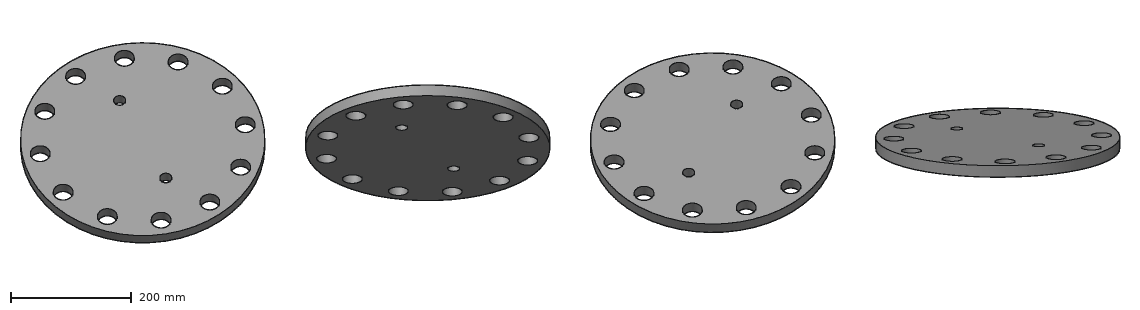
import cadquery as cq

flange_diameter = 405.0
thickness = 20.0

bolt_count = 12
bolt_circle_diameter = 345.0
bolt_hole_diameter = 33.0
bolt_pitch_angle = 360.0 / bolt_count

inner_hole_spacing = 180.0
inner_hole_diameter = 20.0


def make_plate():
    return cq.Workplane("XY").circle(flange_diameter / 2).extrude(thickness)


def cut_bolt_holes(plate):
    return (
        plate.faces(">Z")
        .workplane(origin=(0, 0, thickness))
        .polarArray(bolt_circle_diameter / 2, bolt_pitch_angle / 2, 360, bolt_count)
        .hole(bolt_hole_diameter)
    )


def cut_inner_holes(plate):
    return (
        plate.faces(">Z")
        .workplane(origin=(0, 0, thickness))
        .rarray(inner_hole_spacing, 4, 2, 1)
        .hole(inner_hole_diameter)
    )


result = cut_inner_holes(cut_bolt_holes(make_plate()))